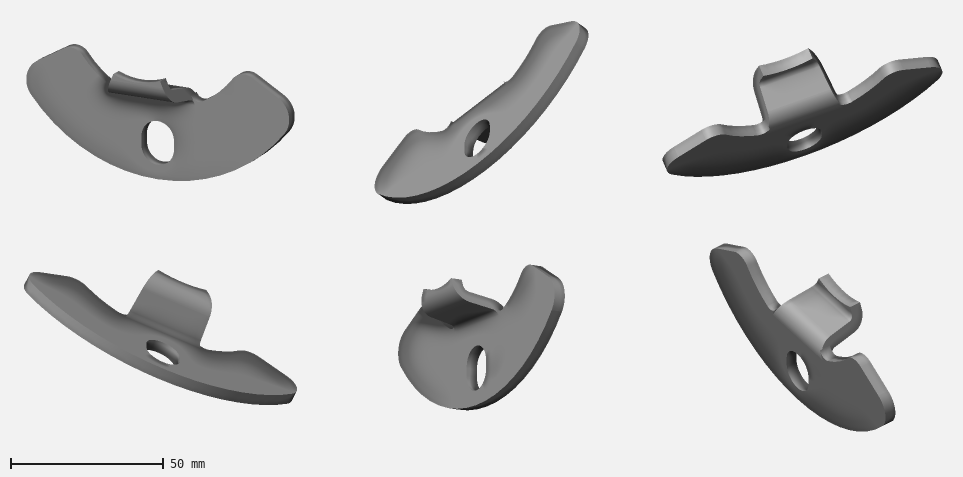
import cadquery as cq
import math


thickness = 4.0
outer_radius = 60.0
inner_radius = 35.0
end_angle = 30.0
outer_corner_radius = 8.0
inner_corner_radius = 5.5

slot_width = 12.0
slot_length = 15.0
slot_center_z = -47.5

tab_reach = 19.05
tab_rise_angle = 10.0
bend_inner_radius = 2.0
bend_start_z = -32.5
tip_arc_radius = 22.6
tab_base_half_width = 13.7
tab_blank_top_z = -18.0
tab_side_angle = 23.5
relief_radius = 3.1

bend_outer_radius = bend_inner_radius + thickness


def polar(radius, angle, center=(0, 0)):
    """Point at a radius and an angle in degrees from a centre."""
    direction = math.radians(angle)
    return (center[0] + radius * math.cos(direction), center[1] + radius * math.sin(direction))


def tab_half_width(z):
    """Half width of the tapered tab at height z."""
    return tab_base_half_width - (z - bend_start_z) * math.tan(math.radians(tab_side_angle))


def tab_wedge(bottom_z, depth):
    """Tapered prism that holds the tab's side faces, running forward from the back face."""
    bottom = tab_half_width(bottom_z)
    top = tab_half_width(tab_blank_top_z)
    outline = [(-bottom, bottom_z), (bottom, bottom_z), (top, tab_blank_top_z), (-top, tab_blank_top_z)]
    return cq.Workplane("XZ").polyline(outline).close().extrude(depth)


def fillet_near(body, points, radius):
    """Round the through-thickness edges closest to the given (X, Z) points."""
    for x, z in points:
        nearest = cq.selectors.NearestToPointSelector((x, -thickness / 2, z))
        body = body.edges("|Y").edges(nearest).fillet(radius)
    return body


def make_sector():
    """Annular sector with rounded corners."""
    outer_right = polar(outer_radius, -end_angle)
    inner_right = polar(inner_radius, -end_angle)
    outer_left = (-outer_right[0], outer_right[1])
    inner_left = (-inner_right[0], inner_right[1])
    body = (
        cq.Workplane("XZ")
        .moveTo(*inner_left)
        .lineTo(*outer_left)
        .threePointArc((0, -outer_radius), outer_right)
        .lineTo(*inner_right)
        .threePointArc((0, -inner_radius), inner_left)
        .close()
        .extrude(thickness)
    )
    body = fillet_near(body, [outer_left, outer_right], outer_corner_radius)
    return fillet_near(body, [inner_left, inner_right], inner_corner_radius)


def tab_root_corner():
    """Point (X, Z) where the right tab side crosses the inner arc."""
    slope = math.tan(math.radians(tab_side_angle))
    axis_half_width = tab_half_width(0)
    a = 1 + slope ** 2
    b = -2 * slope * axis_half_width
    c = axis_half_width ** 2 - inner_radius ** 2
    z = (-b - math.sqrt(b ** 2 - 4 * a * c)) / (2 * a)
    return (tab_half_width(z), z)


def make_plate():
    """Flat plate with filleted tab roots, opened above the bend line for the tab."""
    root_x, root_z = tab_root_corner()
    wedge_bottom = -inner_radius - thickness
    plate = make_sector().union(tab_wedge(wedge_bottom, thickness))
    plate = fillet_near(plate, [(-root_x, root_z), (root_x, root_z)], relief_radius)
    return plate.cut(tab_wedge(bend_start_z, thickness))


def make_tab():
    """Sheet bent forward and then up, trimmed to tapered sides and a concave tip."""
    root_center = (-bend_outer_radius, bend_start_z)
    tip_center_y = -tab_reach + bend_outer_radius
    up_angle = 90 - tab_rise_angle
    root_mid = up_angle / 2
    tip_start = up_angle - 180
    tip_mid = (tip_start - 180) / 2

    rise = math.radians(tab_rise_angle)
    run = root_center[0] - tip_center_y
    face_offset = bend_outer_radius + bend_inner_radius
    tip_center_z = bend_start_z + run * math.tan(rise) + face_offset / math.cos(rise)
    tip_center = (tip_center_y, tip_center_z)

    sheet = (
        cq.Workplane("YZ")
        .moveTo(0, bend_start_z)
        .threePointArc(
            polar(bend_outer_radius, root_mid, root_center),
            polar(bend_outer_radius, up_angle, root_center),
        )
        .lineTo(*polar(bend_inner_radius, tip_start, tip_center))
        .threePointArc(
            polar(bend_inner_radius, tip_mid, tip_center),
            polar(bend_inner_radius, 180, tip_center),
        )
        .lineTo(-tab_reach + thickness, tab_blank_top_z)
        .lineTo(-tab_reach, tab_blank_top_z)
        .lineTo(-tab_reach, tip_center_z)
        .threePointArc(
            polar(bend_outer_radius, tip_mid, tip_center),
            polar(bend_outer_radius, tip_start, tip_center),
        )
        .lineTo(*polar(bend_inner_radius, up_angle, root_center))
        .threePointArc(
            polar(bend_inner_radius, root_mid, root_center),
            (-thickness, bend_start_z),
        )
        .close()
        .extrude(tab_base_half_width, both=True)
    )
    tip_cutter = cq.Workplane("XZ").circle(tip_arc_radius).extrude(tab_reach)
    return sheet.intersect(tab_wedge(bend_start_z, tab_reach)).cut(tip_cutter)


def make_slot():
    """Upright oblong hole through the plate."""
    return (
        cq.Workplane("XZ")
        .center(0, slot_center_z)
        .slot2D(slot_length, slot_width, 90)
        .extrude(thickness)
    )


result = make_plate().union(make_tab()).cut(make_slot())